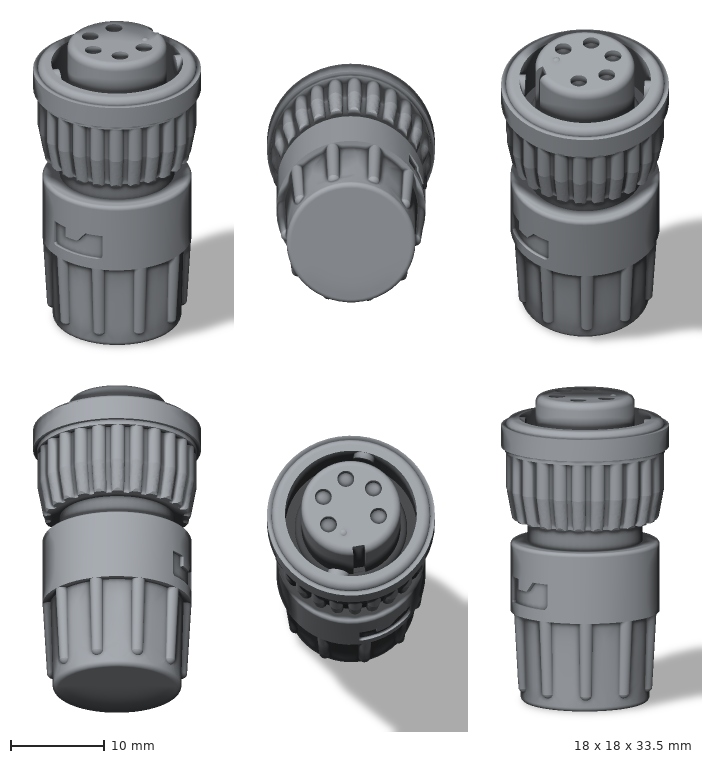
import cadquery as cq
import math

GRIP_BASE_R = 6.9
GRIP_TOP_R = 7.17
GRIP_BASE_ROUND = 0.5
COLLAR_BOTTOM_Z = 9.85
COLLAR_TOP_Z = 17.5
COLLAR_R = 8.0
COLLAR_ROUND = 0.4

GRIP_RIB_COUNT = 10
GRIP_RIB_TURN = 20
GRIP_RIB_END_Z = 1.75
GRIP_RIB_TOP_R = 0.7
GRIP_RIB_END_R = 0.65
GRIP_RIB_TOP_REACH = 7.98
GRIP_RIB_END_REACH = 7.5
GRIP_RIB_TIP_H = 0.47

RECESS_DEPTH = 0.37
RECESS_BOTTOM_Z = 11.1
RECESS_TOP_Z = 13.95
RECESS_LEFT = -0.47
RECESS_RIGHT = 5.5
RECESS_CORNER_CHAMFER = 0.2
RECESS_CORNER_ROUND = 0.55
TOOTH_TIP_Z = 12.8
TOOTH_LEFT = 1.5
TOOTH_SIDE_SLOPE = 0.44
TOOTH_TIP_RIGHT = 2.88
TOOTH_ROOT_RIGHT = 3.8

NECK_R = 6.17

NUT_BOTTOM_Z = 19.9
NUT_BEND_Z = 23.3
NUT_BAND_Z = 27.3
NUT_R = 8.5
NUT_BOTTOM_R = 7.88
NUT_CHAMFER_IN = 0.17
NUT_CHAMFER_SLOPE = 0.8
NUT_RIB_COUNT = 24
NUT_RIB_TURN = 8.3
NUT_RIB_R = 0.77
NUT_RIB_BOTTOM_R = 0.67
FLUTE_FLOOR_OFFSET = 0.7
BAND_R = 8.6
RING_BOTTOM_Z = 27.8
RING_TOP_Z = 30.15
RING_R = 9.02
LIP_TOP_Z = 30.87
BORE_R = 7.07
BORE_FLOOR_Z = 25.8

INSERT_R = 5.33
INSERT_TOP_Z = 33.4
INSERT_ROUND = 0.77
SEAL_OUTER_R = 6.05
SEAL_R = 0.5
KEYWAY_WIDTH = 1.35
KEYWAY_FLOOR_Y = 4.53
CONTACT_CIRCLE_R = 3.15
CONTACT_HOLE_R = 0.9
CONTACT_HOLE_DEPTH = 0.8
CONTACT_ANGLES = (30, 150, 210, 270, 330)
MARK_X = 1.3
MARK_Y = 2.78
MARK_R = 0.37
TOTAL_HEIGHT = 33.52

PIN_R = 1.15
PIN_INNER_END = 6.4
PIN_TOP_Z = 30.8
PIN_ANGLES = (68, 248)


def disc(radius, bottom_z, top_z):
    return cq.Workplane("XY").workplane(offset=bottom_z).circle(radius).extrude(top_z - bottom_z)


def cone(bottom_r, top_r, bottom_z, top_z):
    half_profile = [(0, bottom_z), (bottom_r, bottom_z), (top_r, top_z), (0, top_z)]
    return cq.Workplane("XZ").polyline(half_profile).close().revolve(360, (0, 0), (0, 1))


def around_axis(body, angles):
    copies = cq.Workplane("XY")
    for angle in angles:
        copies = copies.add(body.rotate((0, 0, 0), (0, 0, 1), angle).val())
    return copies.combine()


def even_angles(count, start):
    return [start + i * 360 / count for i in range(count)]


def leaning_rib(low_z, low_r, low_center, high_z, high_r, high_center):
    """Round rib on the -X side, lofted between two horizontal circles."""
    return (
        cq.Workplane("XY").workplane(offset=low_z).center(-low_center, 0).circle(low_r)
        .workplane(offset=high_z - low_z).center(low_center - high_center, 0).circle(high_r)
        .loft(ruled=True)
    )


def dome(base_r, rise):
    """Spherical cap standing on the XY plane."""
    sphere_r = (base_r ** 2 + rise ** 2) / (2 * rise)
    cap = cq.Workplane("XY").sphere(sphere_r).translate((0, 0, rise - sphere_r))
    return cap.intersect(disc(2 * base_r, 0, rise))


def back_shell():
    grip = cone(GRIP_BASE_R, GRIP_TOP_R, 0, COLLAR_BOTTOM_Z)
    grip = grip.faces("<Z").edges().fillet(GRIP_BASE_ROUND)
    end_center = GRIP_RIB_END_REACH - GRIP_RIB_END_R
    top_center = GRIP_RIB_TOP_REACH - GRIP_RIB_TOP_R
    rib = leaning_rib(GRIP_RIB_END_Z, GRIP_RIB_END_R, end_center, COLLAR_BOTTOM_Z, GRIP_RIB_TOP_R, top_center)
    tip = dome(GRIP_RIB_END_R, GRIP_RIB_TIP_H).rotate((0, 0, 0), (1, 0, 0), 180)
    tip = tip.translate((-end_center, 0, GRIP_RIB_END_Z))
    ribs = around_axis(rib.union(tip), even_angles(GRIP_RIB_COUNT, GRIP_RIB_TURN))
    collar = disc(COLLAR_R, COLLAR_BOTTOM_Z, COLLAR_TOP_Z).faces(">Z").edges().fillet(COLLAR_ROUND)
    return grip.union(ribs).union(collar).cut(latch_recesses())


def recess_outline(plane_y, spread):
    """Recess outline at distance plane_y from the axis, its widths multiplied by spread."""
    tooth_left = TOOTH_LEFT + TOOTH_SIDE_SLOPE * (plane_y - COLLAR_R)
    round_start_x = (RECESS_RIGHT - RECESS_CORNER_ROUND) * spread
    round_end_z = RECESS_BOTTOM_Z + RECESS_CORNER_ROUND
    bulge = RECESS_CORNER_ROUND * math.sqrt(0.5)
    round_mid = (round_start_x + bulge * spread, round_end_z - bulge)
    return (
        cq.Workplane("XZ", origin=(0, -plane_y, 0))
        .moveTo(RECESS_LEFT * spread, RECESS_BOTTOM_Z + RECESS_CORNER_CHAMFER)
        .lineTo((RECESS_LEFT + RECESS_CORNER_CHAMFER) * spread, RECESS_BOTTOM_Z)
        .lineTo(round_start_x, RECESS_BOTTOM_Z)
        .threePointArc(round_mid, (RECESS_RIGHT * spread, round_end_z))
        .lineTo(RECESS_RIGHT * spread, RECESS_TOP_Z)
        .lineTo(TOOTH_ROOT_RIGHT * spread, RECESS_TOP_Z)
        .lineTo(TOOTH_TIP_RIGHT * spread, TOOTH_TIP_Z)
        .lineTo(tooth_left, TOOTH_TIP_Z)
        .lineTo(tooth_left, RECESS_TOP_Z)
        .lineTo(RECESS_LEFT * spread, RECESS_TOP_Z)
        .close()
    )


def latch_recesses():
    outer_y = COLLAR_R + RECESS_DEPTH
    inner_y = outer_y / 2
    taper = RECESS_DEPTH / COLLAR_R
    outer = recess_outline(outer_y, 1 + taper)
    inner = recess_outline(inner_y, 1 - taper)
    wedge = cq.Workplane(cq.Solid.makeLoft([inner.val(), outer.val()], True))
    wedge = wedge.cut(disc(COLLAR_R - RECESS_DEPTH, 0, COLLAR_TOP_Z))
    return around_axis(wedge, (0, 180))


def coupling_nut():
    floor_r = NUT_R - FLUTE_FLOOR_OFFSET
    floor_bottom_r = NUT_BOTTOM_R - FLUTE_FLOOR_OFFSET
    core = cone(floor_bottom_r, floor_r, NUT_BOTTOM_Z, NUT_BEND_Z)
    core = core.union(disc(floor_r, NUT_BEND_Z, NUT_BAND_Z))

    rib_center = NUT_R - NUT_RIB_R
    bottom_center = NUT_BOTTOM_R - NUT_RIB_BOTTOM_R
    rib = leaning_rib(NUT_BOTTOM_Z, NUT_RIB_BOTTOM_R, bottom_center, NUT_BEND_Z, NUT_RIB_R, rib_center)
    rib = rib.union(leaning_rib(NUT_BEND_Z, NUT_RIB_R, rib_center, NUT_BAND_Z, NUT_RIB_R, rib_center))
    ribs = around_axis(rib, even_angles(NUT_RIB_COUNT, NUT_RIB_TURN))
    chamfer_r = NUT_BOTTOM_R - NUT_CHAMFER_IN
    flare_r = chamfer_r + NUT_CHAMFER_SLOPE * (NUT_BAND_Z - NUT_BOTTOM_Z)
    ribs = ribs.intersect(cone(chamfer_r, flare_r, NUT_BOTTOM_Z, NUT_BAND_Z))

    band = disc(BAND_R, NUT_BAND_Z, RING_BOTTOM_Z)
    ring = disc(RING_R, RING_BOTTOM_Z, RING_TOP_Z)
    lip_height = LIP_TOP_Z - RING_TOP_Z
    lip = disc(NUT_R, RING_BOTTOM_Z, LIP_TOP_Z).faces(">Z").edges().fillet(lip_height)
    bore = disc(BORE_R, BORE_FLOOR_Z, LIP_TOP_Z)
    return core.union(ribs).union(band).union(ring).union(lip).cut(bore).union(bayonet_pins())


def bayonet_pins():
    mid_wall_r = (BORE_R + NUT_R) / 2
    pin = (
        cq.Workplane("YZ", origin=(PIN_INNER_END, 0, PIN_TOP_Z - PIN_R))
        .circle(PIN_R)
        .extrude(mid_wall_r - PIN_INNER_END)
    )
    return around_axis(pin, PIN_ANGLES)


def contact_insert():
    insert = disc(INSERT_R, BORE_FLOOR_Z, INSERT_TOP_Z).faces(">Z").edges().fillet(INSERT_ROUND)
    keyway = cq.Workplane("XY", origin=(0, KEYWAY_FLOOR_Y, BORE_FLOOR_Z)).box(
        KEYWAY_WIDTH, INSERT_R - KEYWAY_FLOOR_Y, INSERT_TOP_Z - BORE_FLOOR_Z, centered=(True, False, False)
    )
    hole = disc(CONTACT_HOLE_R, INSERT_TOP_Z - CONTACT_HOLE_DEPTH, INSERT_TOP_Z)
    holes = around_axis(hole.translate((CONTACT_CIRCLE_R, 0, 0)), CONTACT_ANGLES)
    seal = cq.Workplane(cq.Solid.makeTorus(SEAL_OUTER_R - SEAL_R, SEAL_R, cq.Vector(0, 0, BORE_FLOOR_Z)))
    mark = dome(MARK_R, TOTAL_HEIGHT - INSERT_TOP_Z).translate((MARK_X, MARK_Y, INSERT_TOP_Z))
    return insert.cut(keyway).cut(holes).union(seal).union(mark)


neck = disc(NECK_R, COLLAR_TOP_Z, NUT_BOTTOM_Z)
result = back_shell().union(neck).union(coupling_nut()).union(contact_insert())